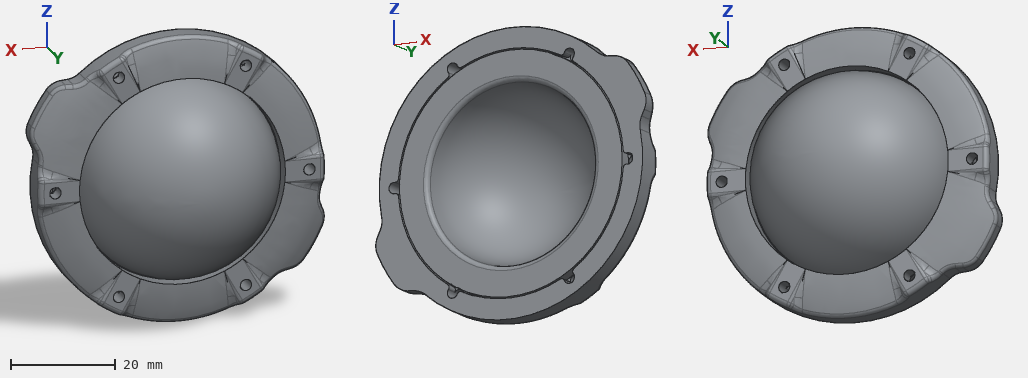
import cadquery as cq
import math


dome_radius = 20.5
dome_inner_radius = 18.0
flange_radius = 24.15
flange_thickness = dome_radius - dome_inner_radius
mouth_round = 1.0

ring_radius = 28.585
ring_height = 6.05
flange_gap = 0.3
recess_radius = flange_radius + flange_gap
bore_radius = dome_radius
crown_radius = 21.1
crown_sweep = math.radians(60)
edge_round = 1.0

screw_count = 6
screw_pitch_angle = 360 / screw_count
screw_circle_radius = 25.35
screw_hole_radius = 1.1
hole_mouth_round = 0.7
pad_half_width = 2.45
pad_side_angle = 40.0
pad_foot_round = 2.35

lug_angles = (30.0, 210.0)
lug_radius = 31.6
lug_flank_angle = 35.0
lug_tip_half_width = 5.15
lug_root_x = 23.45
lug_round = 4.1

beyond_lugs = lug_radius + 5.85
size_margin = 0.05



def disc(radius, height):
    """Cylinder on the Y axis, standing on the mounting face."""
    return cq.Workplane("XZ").circle(radius).extrude(-height)


def half_ball(radius):
    """Half ball standing on the mounting face, centred on it."""
    return (
        cq.Workplane("XY")
        .lineTo(radius, 0)
        .radiusArc((0, radius), -radius)
        .close()
        .revolve(360, (0, 0), (0, 1))
    )


def turned(body, angle):
    """Turn a body about the Y axis, from +X toward +Z."""
    return body.rotate((0, 0, 0), (0, 1, 0), -angle)



def axis_distance(edge):
    center = edge.Center()
    return math.hypot(center.x, center.z)


def rise(edge):
    box = edge.BoundingBox()
    return box.ymax - box.ymin


def is_pad_foot(edge):
    """Sloping edges where the pad sides meet the domed back face."""
    inside_ring = recess_radius < axis_distance(edge) < ring_radius - edge_round
    return inside_ring and rise(edge) > edge_round / 2


def is_back_rim(edge):
    """Edges running round the outside of the back face."""
    above_flange = edge.BoundingBox().ymin > flange_thickness
    return above_flange and axis_distance(edge) > ring_radius - edge_round


def is_hole_mouth(edge):
    """Straight corners left where the screw holes break into the recess wall."""
    on_recess_wall = abs(axis_distance(edge) - recess_radius) < size_margin
    recess_deep = abs(rise(edge) - flange_thickness) < size_margin
    on_seam = abs(edge.Center().z) < size_margin
    return on_recess_wall and recess_deep and not on_seam



def make_lug():
    """Tapered lug along +X, ended by an arc about the ring axis."""
    lug_length = lug_radius - lug_root_x
    root_half_width = lug_tip_half_width + lug_length * math.tan(math.radians(lug_flank_angle))
    wedge = (
        cq.Workplane("XZ")
        .polyline([
            (lug_root_x, -root_half_width),
            (lug_radius, -lug_tip_half_width),
            (lug_radius, lug_tip_half_width),
            (lug_root_x, root_half_width),
        ])
        .close()
        .extrude(-ring_height)
    )
    return wedge.intersect(disc(lug_radius, ring_height))


def make_blank():
    """Full-height ring blank with its lugs blended into the round outline."""
    blank = disc(ring_radius, ring_height)
    for angle in lug_angles:
        blank = blank.union(turned(make_lug(), angle))
    return blank.edges("|Y").fillet(lug_round)


def make_pad():
    """Straight bar along +X with sloping sides and rounded top edges."""
    foot_half_width = pad_half_width + ring_height / math.tan(math.radians(pad_side_angle))
    return (
        cq.Workplane("YZ")
        .polyline([
            (0, -foot_half_width),
            (ring_height, -pad_half_width),
            (ring_height, pad_half_width),
            (0, foot_half_width),
        ])
        .close()
        .extrude(beyond_lugs)
        .edges("|X and >Y")
        .fillet(edge_round)
    )


def make_crown_cut():
    """Space above the domed back face, with the pads left standing."""
    arc_end_x = bore_radius + crown_radius * math.sin(crown_sweep)
    arc_end_y = ring_height - crown_radius * (1 - math.cos(crown_sweep))
    cut = (
        cq.Workplane("XY")
        .moveTo(bore_radius, ring_height)
        .radiusArc((arc_end_x, arc_end_y), crown_radius)
        .lineTo(arc_end_x, ring_height)
        .close()
        .revolve(360, (0, 0), (0, 1))
    )
    for index in range(screw_count):
        cut = cut.cut(turned(make_pad(), index * screw_pitch_angle))
    return cut


def make_screw_holes():
    return (
        cq.Workplane("XZ")
        .polarArray(screw_circle_radius, 0, 360, screw_count)
        .circle(screw_hole_radius)
        .extrude(-ring_height)
    )


def make_retaining_ring():
    ring = make_blank().cut(make_crown_cut())
    ring = ring.cut(disc(bore_radius, ring_height))
    ring = ring.edges().filter(is_pad_foot).fillet(pad_foot_round)
    ring = ring.edges().filter(is_back_rim).fillet(edge_round)
    ring = ring.cut(disc(recess_radius, flange_thickness))
    ring = ring.cut(make_screw_holes())
    return ring.edges("|Y").filter(is_hole_mouth).fillet(hole_mouth_round)



def make_dome():
    """Hollow half ball with a flat flange round its rounded mouth."""
    dome = half_ball(dome_radius).union(disc(flange_radius, flange_thickness))
    dome = dome.cut(half_ball(dome_inner_radius))
    mouth_edge = dome.faces("<Y").edges(cq.selectors.RadiusNthSelector(0))
    return mouth_edge.fillet(mouth_round)


retaining_ring = make_retaining_ring()
dome = make_dome()

result = cq.Compound.makeCompound([retaining_ring.solids().val(), dome.solids().val()])